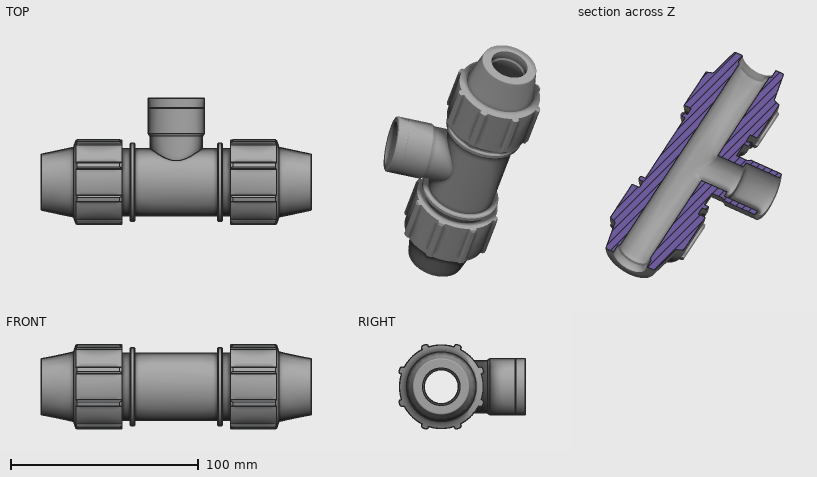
import cadquery as cq

length = 144.0
half_length = length / 2
branch_reach = 45.0

tube_diameter = 36.0
flange_diameter = 41.8
flange_width = 2.6
flange_offset = 23.3
flange_chamfer = 0.5

nozzle_length = 17.3
nozzle_tip_diameter = 29.8
nozzle_tip_fillet = 0.7

nut_body_radius = 22.3
nut_inner_face = 28.8
nut_outer_face = half_length - nozzle_length
nut_face_radius = 18.6
bevel_slope = 0.36
rib_count = 8
rib_tip_radius = 24.0
rib_width = 3.7
rib_edge_chamfer = 0.79
rib_inner_bevel_length = 1.3
rib_inner_bevel_depth = 0.6

bore_diameter = 18.0
entry_diameter = 20.0
entry_depth = 4.9
entry_cone_length = 0.6

neck_diameter = 27.8
collar_diameter = 30.1
collar_length = 20.3
collar_bevel_length = 1.3
collar_bevel_depth = 0.9
groove_offset = 5.5
groove_width = 0.5
groove_depth = 0.1
rim_chamfer = 0.5
socket_diameter = 24.0


def revolve_about_x(profile):
    return profile.close().revolve(360, (0, 0, 0), (1, 0, 0))


def cylinder_x(start, end, diameter):
    return cq.Workplane("YZ", origin=(start, 0, 0)).circle(diameter / 2).extrude(end - start)


def cylinder_y(start, end, diameter):
    return cq.Workplane("XZ", origin=(0, start, 0)).circle(diameter / 2).extrude(start - end)


def make_rib(angle):
    rib_height = rib_tip_radius - nut_face_radius
    rib = (
        cq.Workplane("YZ", origin=(nut_inner_face, nut_face_radius, 0))
        .center(rib_height / 2, 0)
        .rect(rib_height, rib_width)
        .extrude(nut_outer_face - nut_inner_face)
    )
    rib = rib.faces(">Y").edges("|X").chamfer(rib_edge_chamfer)
    return rib.rotate((0, 0, 0), (1, 0, 0), angle)


def make_nut():
    nut = cylinder_x(nut_inner_face, nut_outer_face, 2 * nut_body_radius)
    pitch = 360 / rib_count
    for index in range(rib_count):
        nut = nut.union(make_rib((index + 0.5) * pitch))
    bevel_start = nut_outer_face - bevel_slope * (rib_tip_radius - nut_face_radius)
    envelope = revolve_about_x(
        cq.Workplane("XY")
        .moveTo(nut_inner_face, 0)
        .lineTo(nut_inner_face, rib_tip_radius - rib_inner_bevel_depth)
        .lineTo(nut_inner_face + rib_inner_bevel_length, rib_tip_radius)
        .lineTo(bevel_start, rib_tip_radius)
        .lineTo(nut_outer_face, nut_face_radius)
        .lineTo(nut_outer_face, 0)
    )
    return nut.intersect(envelope)


def make_nozzle():
    return revolve_about_x(
        cq.Workplane("XY")
        .moveTo(nut_outer_face, 0)
        .lineTo(nut_outer_face, nut_face_radius)
        .lineTo(half_length, nozzle_tip_diameter / 2)
        .lineTo(half_length, 0)
    ).faces(">X").edges().fillet(nozzle_tip_fillet)


def make_flange():
    flange = cylinder_x(flange_offset - flange_width / 2, flange_offset + flange_width / 2, flange_diameter)
    return flange.edges().chamfer(flange_chamfer)


def make_branch():
    collar_start = branch_reach - collar_length
    collar = cylinder_y(collar_start, branch_reach, collar_diameter)
    collar = collar.faces("<Y").chamfer(collar_bevel_length, collar_bevel_depth)
    collar = collar.faces(">Y").chamfer(rim_chamfer)
    groove_start = branch_reach - groove_offset - groove_width / 2
    groove_end = groove_start + groove_width
    groove = cylinder_y(groove_start, groove_end, collar_diameter).cut(
        cylinder_y(groove_start, groove_end, collar_diameter - 2 * groove_depth)
    )
    return cylinder_y(0, collar_start, neck_diameter).union(collar.cut(groove))


def make_entry():
    step = half_length - entry_depth
    return revolve_about_x(
        cq.Workplane("XY")
        .moveTo(half_length, 0)
        .lineTo(half_length, entry_diameter / 2)
        .lineTo(step, entry_diameter / 2)
        .lineTo(step - entry_cone_length, bore_diameter / 2)
        .lineTo(step - entry_cone_length, 0)
    )


end_fittings = make_nut().union(make_nozzle()).union(make_flange())
entry = make_entry()

result = (
    cylinder_x(-nut_inner_face, nut_inner_face, tube_diameter)
    .union(make_branch())
    .union(end_fittings)
    .union(end_fittings.mirror("YZ"))
    .cut(cylinder_x(-half_length, half_length, bore_diameter))
    .cut(entry)
    .cut(entry.mirror("YZ"))
    .cut(cylinder_y(0, branch_reach, bore_diameter))
    .cut(cylinder_y(branch_reach - collar_length, branch_reach, socket_diameter))
)